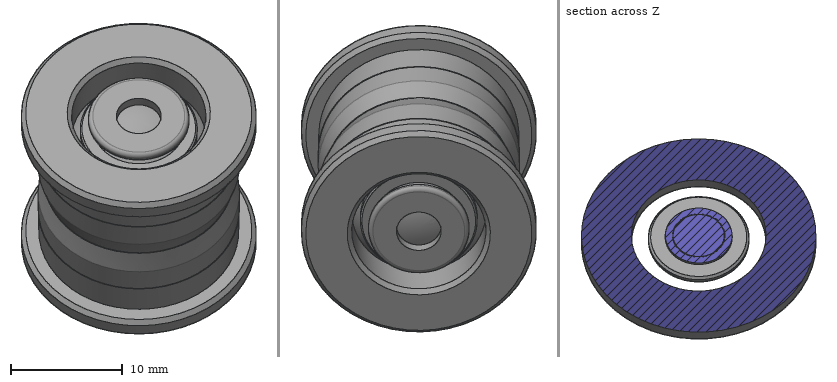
import cadquery as cq
import math

FLANGE_DIAMETER = 21.0
HEIGHT = 19.0
HALF_HEIGHT = HEIGHT / 2

BALL_RADIUS = 8.4

FLANGE_RADIUS = FLANGE_DIAMETER / 2
FLANGE_THICKNESS = 2.0
EDGE_CHAMFER = 0.4
SLEEVE_RADIUS = 17.9 / 2
BORE_RADIUS = 12.0 / 2
FIT_BAND_RADIUS = 18.0 / 2
FIT_BAND_TOP = 4.5
TAPER_HEIGHT = 2.0
TAPER_ANGLE = 15.0
WAIST_RADIUS = FIT_BAND_RADIUS - TAPER_HEIGHT * math.tan(math.radians(TAPER_ANGLE))

COLLAR_RADIUS = 10.45 / 2
COLLAR_RECESS = 2.15
COLLAR_TOP = HALF_HEIGHT - COLLAR_RECESS
COLLAR_CHAMFER = 0.15

CAP_RECESS = 0.4
CAP_TOP = HALF_HEIGHT - CAP_RECESS
CAP_HOLE_RADIUS = 4.0 / 2
HEAD_RADIUS = 9.0 / 2
HEAD_THICKNESS = 0.85
HEAD_FILLET = 0.4
HEAD_BOTTOM = CAP_TOP - HEAD_THICKNESS
HEAD_UNDERSIDE_CHAMFER = 0.2
NECK_RADIUS = 6.0 / 2


def cylinder(radius, bottom, top):
    """Solid cylinder on the Z axis between two heights."""
    return cq.Workplane("XY").workplane(offset=bottom).circle(radius).extrude(top - bottom)


def make_ball():
    return cq.Workplane("XY").sphere(BALL_RADIUS)


def make_bushing():
    """Upper flanged bushing, tapering to the waist at mid-height, with a spherical seat."""
    flange_bottom = HALF_HEIGHT - FLANGE_THICKNESS
    body = (
        cq.Workplane("XZ")
        .polyline([
            (0, 0),
            (WAIST_RADIUS, 0),
            (FIT_BAND_RADIUS, TAPER_HEIGHT),
            (FIT_BAND_RADIUS, FIT_BAND_TOP),
            (SLEEVE_RADIUS, FIT_BAND_TOP),
            (SLEEVE_RADIUS, flange_bottom),
            (FLANGE_RADIUS - EDGE_CHAMFER, flange_bottom),
            (FLANGE_RADIUS, flange_bottom + EDGE_CHAMFER),
            (FLANGE_RADIUS, HALF_HEIGHT - EDGE_CHAMFER),
            (FLANGE_RADIUS - EDGE_CHAMFER, HALF_HEIGHT),
            (0, HALF_HEIGHT),
        ])
        .close()
        .revolve(360, (0, 0, 0), (0, 1, 0))
    )
    bored = body.cut(cylinder(BORE_RADIUS, 0, HALF_HEIGHT))
    mouth = bored.faces(">Z").edges(cq.selectors.RadiusNthSelector(0))
    return mouth.chamfer(EDGE_CHAMFER).cut(make_ball())


def make_collar():
    """Upper collar: a ring seated on the ball."""
    disc = cylinder(COLLAR_RADIUS, 0, COLLAR_TOP).faces(">Z").edges().chamfer(COLLAR_CHAMFER)
    return disc.cut(make_ball())


def make_cap():
    """Upper cap: a rounded head on a neck seated on the ball, with a central hole."""
    head = cylinder(HEAD_RADIUS, HEAD_BOTTOM, CAP_TOP)
    head = head.faces(">Z").edges().fillet(HEAD_FILLET)
    head = head.faces("<Z").edges().chamfer(HEAD_UNDERSIDE_CHAMFER)
    neck = cylinder(NECK_RADIUS, 0, HEAD_BOTTOM)
    hole = cylinder(CAP_HOLE_RADIUS, 0, CAP_TOP)
    return head.union(neck).cut(hole).cut(make_ball())


bodies = [make_ball().val()]
for make_body in (make_bushing, make_collar, make_cap):
    upper_body = make_body().solids().val()
    bodies.append(upper_body)
    bodies.append(upper_body.mirror("XY"))

result = cq.Compound.makeCompound(bodies)